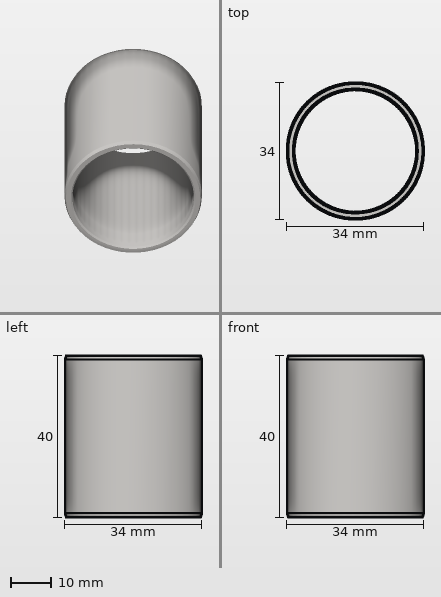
import cadquery as cq

length = 40.0
outer_diameter = 34.0
bore_diameter = 30.1

outer_chamfer_length = 1.0
outer_chamfer_depth = 0.35

bore_chamfer = 0.4

outer_radius = outer_diameter / 2
bore_radius = bore_diameter / 2
half_length = length / 2
chamfer_start = half_length - outer_chamfer_length
rim_outer_radius = outer_radius - outer_chamfer_depth
rim_inner_radius = bore_radius + bore_chamfer
bore_end = half_length - bore_chamfer

wall_section = [
    (bore_radius, -bore_end),
    (rim_inner_radius, -half_length),
    (rim_outer_radius, -half_length),
    (outer_radius, -chamfer_start),
    (outer_radius, chamfer_start),
    (rim_outer_radius, half_length),
    (rim_inner_radius, half_length),
    (bore_radius, bore_end),
]

result = cq.Workplane("XZ").polyline(wall_section).close().revolve(360, (0, 0, 0), (0, 1, 0))